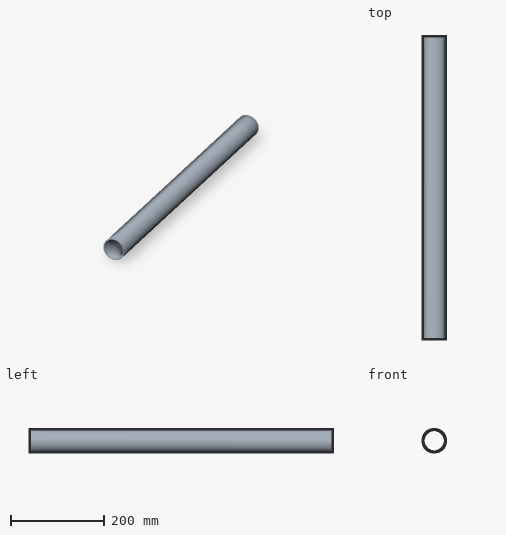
import cadquery as cq

length = 650.0
outer_diameter = 50.0
wall = 2.0

outer_radius = outer_diameter / 2
inner_radius = outer_radius - wall

result = (
    cq.Workplane("XZ", origin=(0, length / 2, 0))
    .circle(outer_radius)
    .circle(inner_radius)
    .extrude(length)
)